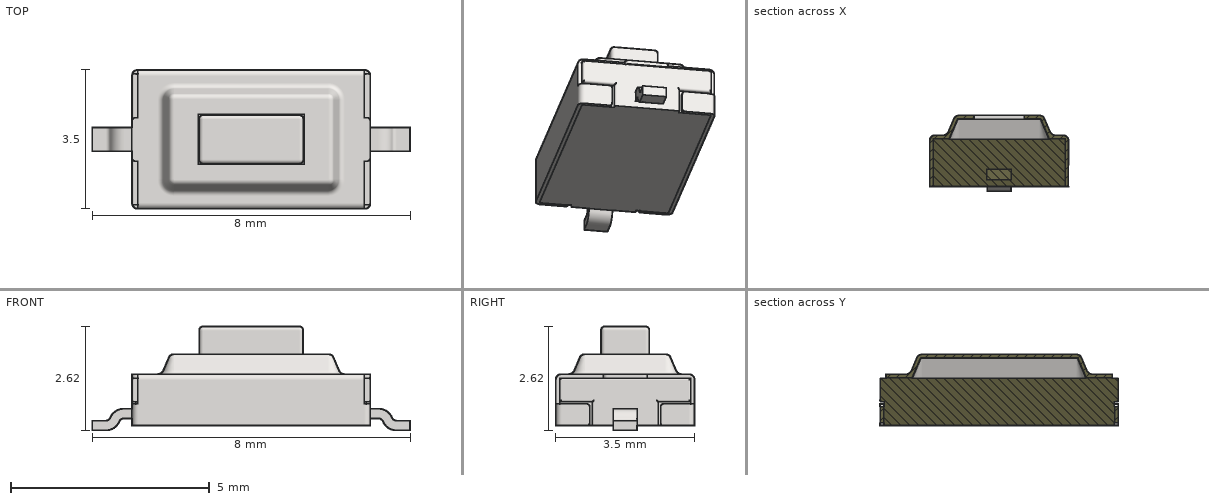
import cadquery as cq
import math

body_length = 6.0
body_width = 3.5
body_height = 1.3
sheet = 0.1
bend_radius = 0.15

dome_top = 1.8
dome_length = 4.5
dome_width = 2.64
dome_draft = 23.0
dome_corner_radius = 0.31
dome_foot_radius = 0.15
dome_rim_radius = 0.14

top_tab_width = 1.1
top_tab_radius = 0.1
foot_height = 0.55
foot_gap_width = 1.79
foot_corner_radius = 0.07

wing_bottom = 0.6
stem_width = 1.66
base_edge_radius = 0.05

button_length = 2.62
button_width = 1.22
button_top = 2.5
button_edge_radius = 0.1
button_clearance = 0.02

terminal_length = 8.0
terminal_width = 0.6
terminal_thickness = 0.25
terminal_bottom = -0.12
terminal_rise = 0.3
bend_start = 3.655
bend_end = 3.205

half_length = body_length / 2
base_width = body_width - 2 * sheet
base_height = body_height - sheet
plate_length = body_length - 2 * bend_radius
core_length = body_length - 2 * sheet
inner_bend_radius = bend_radius - sheet
foot_width = (body_width - foot_gap_width) / 2
foot_center_y = (foot_gap_width + foot_width) / 2


def block(length, width, bottom, top):
    """Centred box between two levels."""
    box = cq.Workplane("XY").box(length, width, top - bottom, centered=(True, True, False))
    return box.translate((0, 0, bottom))


def dome(length, width, corner_radius, bottom, top):
    """Tapered block with conical corners; the sizes are those at its bottom."""
    outline = cq.Sketch().rect(length, width).vertices().fillet(corner_radius)
    floor = cq.Workplane("XY", origin=(0, 0, bottom))
    return floor.placeSketch(outline).extrude(top - bottom, taper=dome_draft)


def make_cover_channel():
    """Top plate with the two long side walls, domed in the middle."""
    plate = block(plate_length, body_width, 0, body_height).edges("|X and >Z").fillet(bend_radius)
    raised = dome(dome_length, dome_width, dome_corner_radius, body_height, dome_top)
    raised = raised.faces(">Z").edges().fillet(dome_rim_radius)
    outer = plate.union(raised)
    foot_edges = cq.selectors.BoxSelector(
        (-dome_length / 2 - sheet, -dome_width / 2 - sheet, body_height - sheet / 2),
        (dome_length / 2 + sheet, dome_width / 2 + sheet, body_height + sheet / 2),
    )
    outer = outer.edges(foot_edges).fillet(dome_foot_radius)
    return outer.cut(block(plate_length, base_width, 0, base_height))


def make_dome_hollow():
    """Space under the dome that leaves walls one sheet thick."""
    draft = math.radians(dome_draft)
    side_inset = sheet / math.cos(draft) - sheet * math.tan(draft)
    return dome(
        dome_length - 2 * side_inset,
        dome_width - 2 * side_inset,
        dome_corner_radius - side_inset,
        base_height,
        dome_top - sheet,
    )


def make_top_tabs():
    """Tabs of the top plate that reach the two ends over the base."""
    return block(body_length, top_tab_width, base_height, body_height).edges("|Z").fillet(top_tab_radius)


def make_feet():
    """Lower corners of the side walls, folded around the ends of the base."""
    ring = block(body_length, body_width, 0, foot_height).edges("|Z").fillet(bend_radius)
    inner = block(core_length, base_width, 0, foot_height).edges("|Z").fillet(inner_bend_radius)
    ring = ring.cut(inner)
    foot_envelope = block(body_length, foot_width, 0, foot_height)
    feet = cq.Workplane("XY")
    for side in (-1, 1):
        inner_edges = "|X and <Y" if side > 0 else "|X and >Y"
        envelope = foot_envelope.edges(inner_edges).fillet(foot_corner_radius)
        envelope = envelope.translate((0, side * foot_center_y, 0))
        feet = feet.add(ring.intersect(envelope))
    return feet.combine()


def make_cover():
    opening = block(
        button_length + 2 * button_clearance, button_width + 2 * button_clearance, base_height, dome_top
    )
    shell = make_cover_channel().union(make_top_tabs()).union(make_feet())
    return shell.cut(make_dome_hollow()).cut(opening)


def make_base():
    base = block(core_length, base_width, 0, base_height).edges("|Z").fillet(inner_bend_radius)
    end_depth = bend_radius
    stem = block(end_depth, stem_width, 0, base_height)
    wings = block(end_depth, base_width, wing_bottom, base_height)
    end_block = stem.union(wings).faces(">X").edges("not <Z").fillet(base_edge_radius)
    end_block = end_block.translate((half_length - end_depth / 2, 0, 0))
    return base.union(end_block).union(end_block.mirror("YZ"))


def make_button():
    button = block(button_length, button_width, base_height, button_top)
    return button.edges("|Z or >Z").fillet(button_edge_radius)


def make_terminal():
    run = bend_start - bend_end
    bend_angle = 2 * math.atan2(terminal_rise, run)
    middle_radius = run / (2 * math.sin(bend_angle))
    small_radius = middle_radius - terminal_thickness / 2
    large_radius = middle_radius + terminal_thickness / 2
    foot_top = terminal_bottom + terminal_thickness
    strip_bottom = terminal_bottom + terminal_rise
    strip_top = foot_top + terminal_rise
    lower_center_z = foot_top + small_radius
    upper_center_z = strip_bottom - small_radius

    def lower_bend(radius, angle):
        """Point on the bend next to the soldering end."""
        return (bend_start - radius * math.sin(angle), lower_center_z - radius * math.cos(angle))

    def upper_bend(radius, angle):
        """Point on the bend next to the base."""
        return (bend_end + radius * math.sin(angle), upper_center_z + radius * math.cos(angle))

    half_angle = bend_angle / 2
    half_strip = (
        cq.Workplane("XZ")
        .moveTo(0, strip_bottom)
        .lineTo(bend_end, strip_bottom)
        .threePointArc(upper_bend(small_radius, half_angle), upper_bend(small_radius, bend_angle))
        .threePointArc(lower_bend(large_radius, half_angle), (bend_start, terminal_bottom))
        .lineTo(terminal_length / 2, terminal_bottom)
        .lineTo(terminal_length / 2, foot_top)
        .lineTo(bend_start, foot_top)
        .threePointArc(lower_bend(small_radius, half_angle), lower_bend(small_radius, bend_angle))
        .threePointArc(upper_bend(large_radius, half_angle), (bend_end, strip_top))
        .lineTo(0, strip_top)
        .close()
        .extrude(terminal_width / 2, both=True)
    )
    return half_strip.union(half_strip.mirror("YZ"))


terminal = make_terminal()
base = make_base().cut(terminal)
cover = make_cover()
button = make_button()

bodies = [cover, base, button, terminal]
result = cq.Compound.makeCompound([body.solids().val() for body in bodies])